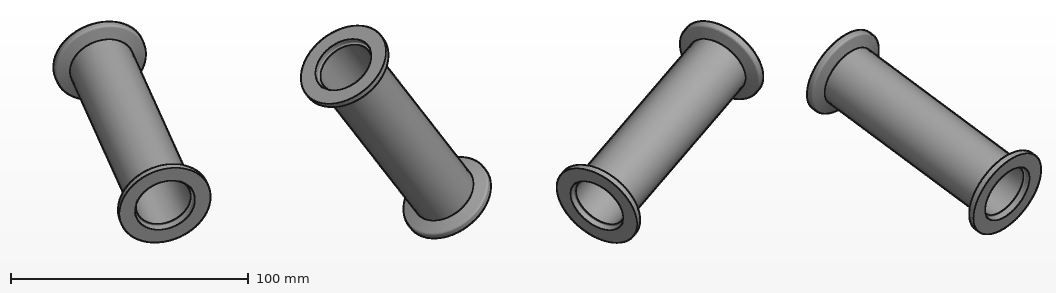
import cadquery as cq
import math

LENGTH = 100.0
FLANGE_DIAMETER = 40.0
TUBE_DIAMETER = 28.0
BORE_DIAMETER = 24.0
RECESS_DIAMETER = 26.2
RECESS_DEPTH = 2.6
RECESS_CORNER_RADIUS = 0.3
RIM_WIDTH = 3.0
TAPER_ANGLE = 15.0
RIM_RADIUS = 1.0

flange_radius = FLANGE_DIAMETER / 2
tube_radius = TUBE_DIAMETER / 2
half_length = LENGTH / 2
taper_length = (flange_radius - tube_radius) * math.tan(math.radians(TAPER_ANGLE))
flange_thickness = RIM_WIDTH + taper_length


def cylinder_along_x(start, length, diameter):
    """Solid cylinder on the X axis, running toward +X from start."""
    return cq.Workplane("YZ", origin=(start, 0, 0)).circle(diameter / 2).extrude(length)


def make_flange():
    """Solid flange at the -X end, with a tapered back and a rounded rim."""
    outer_face = -half_length
    rim_end = outer_face + RIM_WIDTH
    profile = (
        cq.Workplane("XY")
        .moveTo(outer_face, 0)
        .lineTo(outer_face, flange_radius)
        .lineTo(rim_end, flange_radius)
        .lineTo(outer_face + flange_thickness, tube_radius)
        .lineTo(outer_face + flange_thickness, 0)
        .close()
    )
    flange = profile.revolve(360, (0, 0, 0), (1, 0, 0))
    rim_corner = cq.selectors.NearestToPointSelector((rim_end, flange_radius, 0))
    return flange.edges("%CIRCLE").edges(rim_corner).fillet(RIM_RADIUS)


def make_recess():
    """Cutter for the -X end recess, with a small fillet around its floor."""
    cutter = cylinder_along_x(-half_length, RECESS_DEPTH, RECESS_DIAMETER)
    return cutter.faces(">X").edges().fillet(RECESS_CORNER_RADIUS)


flange = make_flange()
tube = cylinder_along_x(-half_length, LENGTH, TUBE_DIAMETER)
body = tube.union(flange).union(flange.mirror("YZ"))

bore = cylinder_along_x(-half_length, LENGTH, BORE_DIAMETER)
recess = make_recess()
result = body.cut(bore).cut(recess).cut(recess.mirror("YZ"))